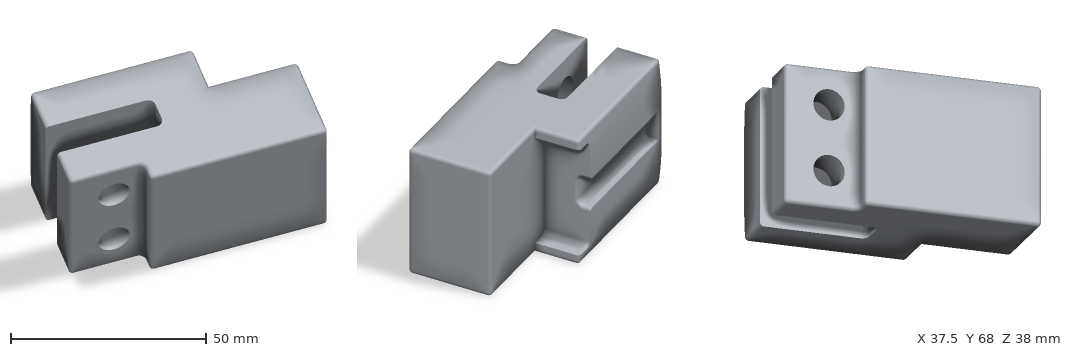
import cadquery as cq
import math

width = 37.5
length = 68.0
height = 38.0
half_height = height / 2
edge_round = 1.0
corner_round = 2.0

clearance = 0.7
select_margin = 0.01

left_arm_length = 44.0
rear_block_width = 24.0
rear_block_left = width - rear_block_width
notch_width = 5.45
notch_length = 20.0
right_arm_side = width - notch_width

crown_flat_half = 8.0
crown_arc_end = 16.1
crown_drop = 0.5
crown_arc_span = crown_arc_end - crown_flat_half
crown_radius = (crown_arc_span**2 + crown_drop**2) / (2 * crown_drop)
crown_angle = math.asin(crown_arc_span / crown_radius)
crown_edge = crown_drop + (half_height - crown_arc_end) * math.tan(crown_angle)

slot_left = 13.0
slot_width = 9.0
slot_right = slot_left + slot_width
slot_length = 29.05

recess_front = 38.9
recess_half_height = crown_arc_end
recess_round = 1.5

groove_front = 2.85
groove_width = 9.0
groove_depth = 4.0
groove_end_round = 0.7
groove_mouth_round = 0.9

hole_diameter = 8.5
hole_y = 12.0
hole_z = 9.0


def box(x_start, x_end, y_start, y_end, z_size):
    """Box spanning the given X and Y ranges, centred on Z = 0."""
    return (
        cq.Workplane("XY")
        .box(x_end - x_start, y_end - y_start, z_size, centered=(False, False, True))
        .translate((x_start, y_start, 0))
    )


def make_block():
    """Stepped block with the crowned left face and rounded outer edges."""
    plan = (
        cq.Workplane("XY", origin=(0, 0, -half_height))
        .lineTo(right_arm_side, 0)
        .lineTo(right_arm_side, notch_length)
        .lineTo(width, notch_length)
        .lineTo(width, length)
        .lineTo(rear_block_left, length)
        .lineTo(rear_block_left, left_arm_length)
        .lineTo(0, left_arm_length)
        .close()
        .extrude(height)
    )

    mid_z = crown_flat_half + crown_radius * math.sin(crown_angle / 2)
    mid_x = crown_radius * (1 - math.cos(crown_angle / 2))
    crown = (
        cq.Workplane("XZ")
        .moveTo(width, -half_height)
        .lineTo(crown_edge, -half_height)
        .lineTo(crown_drop, -crown_arc_end)
        .threePointArc((mid_x, -mid_z), (0, -crown_flat_half))
        .lineTo(0, crown_flat_half)
        .threePointArc((mid_x, mid_z), (crown_drop, crown_arc_end))
        .lineTo(crown_edge, half_height)
        .lineTo(width, half_height)
        .close()
        .extrude(-length)
    )

    block = plan.intersect(crown)
    inner_notch_corner = cq.selectors.NearestToPointSelector((right_arm_side, notch_length, 0))
    block = block.edges(inner_notch_corner).fillet(corner_round)
    return round_outer_edges(block)


def round_outer_edges(block):
    """Round the top, bottom, front and outer corner edges, leaving the inner corner sharp."""
    rims = block.faces("<Y or <Z or >Z").edges()
    arm_rear = cq.selectors.BoxSelector(
        (-select_margin, left_arm_length - select_margin, -height),
        (rear_block_left - select_margin, left_arm_length + select_margin, height),
    )
    arm_rear_edges = block.edges(arm_rear).edges("not |Y")
    corners = block.edges(">X and |Z").add(block.edges(">Y and |Z"))
    return block.newObject(rims.add(arm_rear_edges).add(corners).vals()).fillet(edge_round)


def make_slot():
    """Slot between the arms, with its two inner corners rounded."""
    slot = box(slot_left, slot_right, -clearance, slot_length, height + clearance)
    return slot.edges("|Z and >Y").fillet(corner_round)


def make_recess():
    """Cut behind the crowned face, with rounded front corners."""
    recess = box(-clearance, rear_block_left, recess_front, length, 2 * recess_half_height)
    return recess.edges("|X and <Y").fillet(recess_round)


def make_groove():
    """Groove along the crowned face, with rounded floor edges and closed front end."""
    groove = box(-clearance, groove_depth, groove_front, recess_front + clearance, groove_width)
    groove = groove.edges("|Y and >X").fillet(corner_round)
    front_wall_edges = groove.faces("<Y").edges("not <X")
    return groove.newObject(front_wall_edges.vals()).fillet(groove_end_round)


def round_groove_mouth(body):
    """Round the edge where the groove breaks out into the recess."""
    mouth = cq.selectors.BoxSelector(
        (-select_margin, recess_front - select_margin, -groove_width / 2 - select_margin),
        (groove_depth + select_margin, recess_front + select_margin, groove_width / 2 + select_margin),
        boundingbox=True,
    )
    return body.newObject(body.edges(mouth).vals()).fillet(groove_mouth_round)


def make_holes():
    """Two holes from the slot out through the right arm."""
    return (
        cq.Workplane("YZ", origin=(slot_right, 0, 0))
        .pushPoints([(hole_y, -hole_z), (hole_y, hole_z)])
        .circle(hole_diameter / 2)
        .extrude(width - slot_right)
    )


body = make_block().cut(make_slot()).cut(make_recess()).cut(make_groove())
result = round_groove_mouth(body).cut(make_holes())